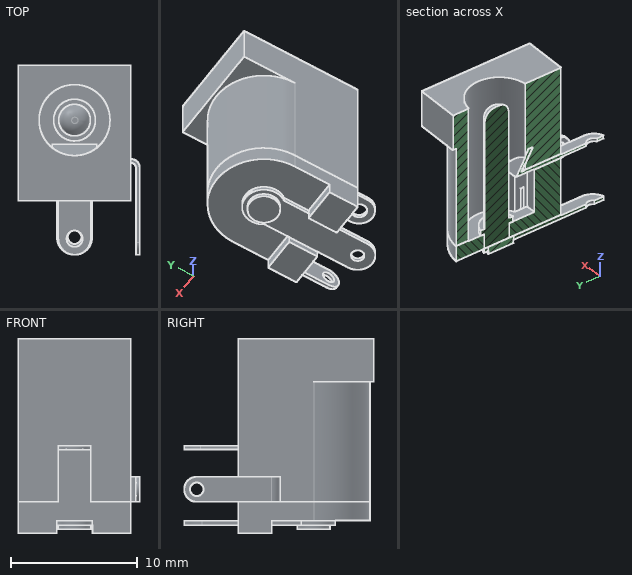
import cadquery as cq
import math


width = 8.9
head_depth = 10.7
total_height = 15.35
head_height = 3.4
base_top = 2.47
body_radius = width / 2
body_center_y = 5.95

bore_diameter = 5.6
bore_center_y = 6.36
pin_diameter = 2.5
pin_tip_z = 14.35
pin_tip_flat_radius = 0.25
collar_diameter = 3.3
collar_height = 0.5

foot_height = 1.0
foot_depth = 2.66
tongue_width = 2.54
tongue_top = 6.6

overall_depth = 14.97
terminal_reach = overall_depth - head_depth
small_hole_diameter = 1.05
sheet_thickness = 0.32

spring_hole_diameter = 1.28
blade_width = 3.5
blade_inner_y = 4.47
blade_lean = 30.0
blade_height = 2.2

switch_width = 2.0
switch_offset = 0.7
switch_back_y = 3.3

pin_terminal_width = 2.8
pin_terminal_thickness = 0.38
pin_terminal_eye_radius = 1.72

rivet_diameter = 2.6
rivet_bottom = 0.31


def body_section(bottom, height):
    """Upright block, square at the front and half round at the back."""
    return (
        cq.Workplane("XY", origin=(0, 0, bottom))
        .moveTo(-body_radius, 0)
        .lineTo(body_radius, 0)
        .lineTo(body_radius, body_center_y)
        .threePointArc((0, body_center_y + body_radius), (-body_radius, body_center_y))
        .close()
        .extrude(height)
    )


def box(size_x, y_start, y_end, z_start, z_end):
    """Box centred on X = 0 between the given Y and Z limits."""
    block = cq.Workplane("XY").box(size_x, y_end - y_start, z_end - z_start, centered=(True, False, False))
    return block.translate((0, y_start, z_start))


def cylinder(diameter, center_y, z_start, z_end):
    """Upright cylinder on X = 0."""
    return cq.Workplane("XY", origin=(0, center_y, z_start)).circle(diameter / 2).extrude(z_end - z_start)


def solder_tab(tab_width, inner_length, hole_diameter, thickness):
    """Flat tab in the XY plane, from Y = inner_length to a round, drilled end in front of the housing."""
    end_radius = tab_width / 2
    eye_y = end_radius - terminal_reach
    return (
        cq.Workplane("XY")
        .moveTo(-end_radius, inner_length)
        .lineTo(-end_radius, eye_y)
        .threePointArc((0, -terminal_reach), (end_radius, eye_y))
        .lineTo(end_radius, inner_length)
        .close()
        .extrude(thickness)
        .cut(cq.Workplane("XY").center(0, eye_y).circle(hole_diameter / 2).extrude(thickness))
    )


def make_spring_contact():
    lean_shift = blade_height * math.tan(math.radians(blade_lean))
    blade_outer_y = blade_inner_y - sheet_thickness / math.cos(math.radians(blade_lean))
    tab = solder_tab(tongue_width, blade_outer_y, spring_hole_diameter, sheet_thickness)
    tab = tab.translate((0, 0, tongue_top))
    blade = (
        cq.Workplane("YZ")
        .moveTo(blade_inner_y, tongue_top)
        .lineTo(blade_inner_y - lean_shift, tongue_top + blade_height)
        .lineTo(blade_outer_y - lean_shift, tongue_top + blade_height)
        .lineTo(blade_outer_y, tongue_top)
        .close()
        .extrude(blade_width / 2, both=True)
    )
    return tab.union(blade)


def make_switch_contact():
    outer_x = body_radius + switch_offset
    inner_x = outer_x - sheet_thickness
    bend_y = switch_back_y - switch_offset
    inner_bend_radius = switch_offset - sheet_thickness
    eye_radius = switch_width / 2
    eye_y = eye_radius - terminal_reach
    eye_z = base_top + eye_radius
    diagonal = math.sqrt(0.5)
    strip = (
        cq.Workplane("XY", origin=(0, 0, base_top))
        .moveTo(tongue_width / 2, switch_back_y)
        .lineTo(body_radius, switch_back_y)
        .threePointArc(
            (body_radius + switch_offset * diagonal, bend_y + switch_offset * diagonal),
            (outer_x, bend_y),
        )
        .lineTo(outer_x, eye_y)
        .lineTo(inner_x, eye_y)
        .lineTo(inner_x, bend_y)
        .threePointArc(
            (body_radius + inner_bend_radius * diagonal, bend_y + inner_bend_radius * diagonal),
            (body_radius, bend_y + inner_bend_radius),
        )
        .lineTo(tongue_width / 2, bend_y + inner_bend_radius)
        .close()
        .extrude(switch_width)
    )
    eye_plane = cq.Workplane("YZ", origin=(inner_x, eye_y, eye_z))
    eye = eye_plane.circle(eye_radius).extrude(sheet_thickness)
    hole = eye_plane.circle(small_hole_diameter / 2).extrude(sheet_thickness)
    return strip.union(eye).cut(hole)


def make_housing():
    head_bottom = total_height - head_height
    housing = body_section(base_top, head_bottom - base_top)
    housing = housing.union(box(width, 0, head_depth, head_bottom, total_height))
    housing = housing.cut(cylinder(bore_diameter, bore_center_y, base_top, total_height))
    tongue_slot = box(tongue_width, 0, bore_center_y, base_top, tongue_top)
    return housing.cut(tongue_slot).cut(spring_contact).cut(switch_contact)


def make_base():
    base = body_section(foot_height, base_top - foot_height)
    feet = box(width, 0, foot_depth, 0, foot_height)
    foot_gap = box(pin_terminal_width, 0, foot_depth, 0, foot_height)
    tongue = box(tongue_width, 0, foot_depth, base_top, tongue_top)
    pin_hole = cylinder(pin_diameter, bore_center_y, foot_height, base_top)
    return base.union(feet.cut(foot_gap)).union(tongue).cut(pin_hole)


def make_pin():
    nose_radius = pin_diameter / 2 - pin_tip_flat_radius
    pin = cylinder(pin_diameter, bore_center_y, foot_height, pin_tip_z)
    pin = pin.faces(">Z").edges().fillet(nose_radius)
    return pin.union(cylinder(collar_diameter, bore_center_y, base_top, base_top + collar_height))


def make_pin_terminal():
    terminal_bottom = foot_height - pin_terminal_thickness
    tab = solder_tab(pin_terminal_width, body_center_y, small_hole_diameter, pin_terminal_thickness)
    tab = tab.translate((0, 0, terminal_bottom))
    eye = cylinder(2 * pin_terminal_eye_radius, body_center_y, terminal_bottom, foot_height)
    return tab.union(eye).cut(rivet)


spring_contact = make_spring_contact()
switch_contact = make_switch_contact()
housing = make_housing()
base = make_base()
pin = make_pin()
rivet = cylinder(rivet_diameter, body_center_y, rivet_bottom, foot_height)
pin_terminal = make_pin_terminal()

result = cq.Compound.makeCompound(
    [
        housing.val(),
        base.val(),
        pin.val(),
        spring_contact.val(),
        switch_contact.val(),
        pin_terminal.val(),
        rivet.val(),
    ]
)